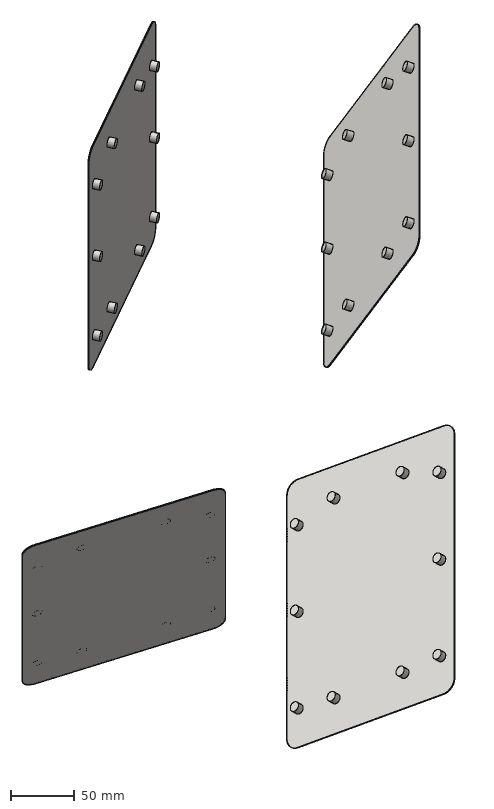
import cadquery as cq

plate_thickness = 1.0
plate_width = 170.0
plate_height = 238.0
corner_radius = 11.0

overall_depth = 7.0
boss_diameter = 8.3
outer_column_y = 72.4
inner_column_y = 35.0
outer_boss_heights = (76.9, 0.0, -85.7)
inner_boss_heights = (88.8, -88.5)


def make_plate():
    """Rounded rectangular plate with its outer face at X = 0."""
    return (
        cq.Workplane("YZ")
        .rect(plate_width, plate_height)
        .extrude(plate_thickness)
        .edges("|X")
        .fillet(corner_radius)
    )


def make_boss_columns(column_y, heights):
    """Bosses at the given heights, mirrored about the XZ plane."""
    centers = [(side * column_y, z) for side in (-1, 1) for z in heights]
    return (
        cq.Workplane("YZ")
        .pushPoints(centers)
        .circle(boss_diameter / 2)
        .extrude(overall_depth)
    )


result = (
    make_plate()
    .union(make_boss_columns(outer_column_y, outer_boss_heights))
    .union(make_boss_columns(inner_column_y, inner_boss_heights))
)